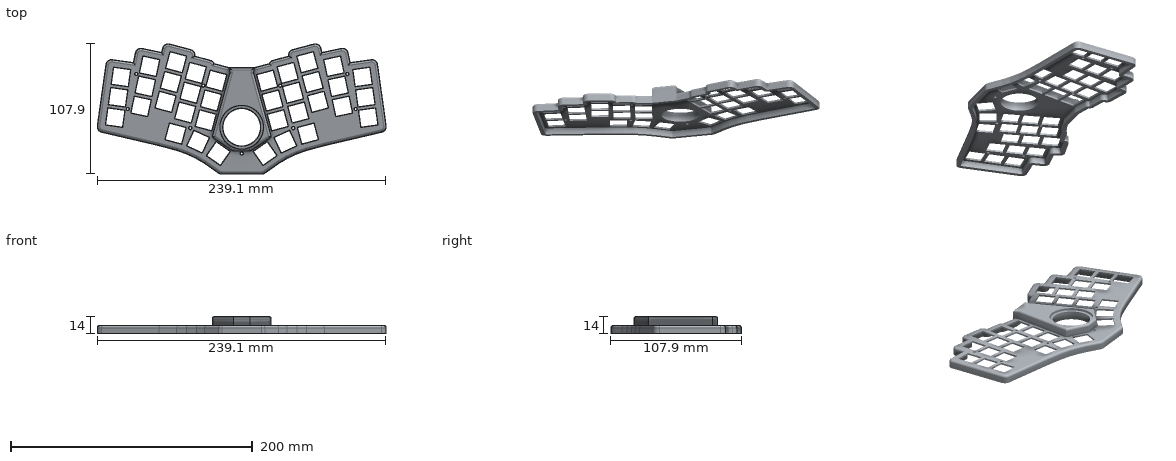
import cadquery as cq
import math

plate_height = 6.7
deck_thickness = 1.5
wall_thickness = 3.5
total_height = 14.0
edge_round = 2.0
corner_radius = 4.8
overall_depth = 107.9
front_y = -overall_depth / 2

key_opening = 14.0
key_pitch = 17.0
side_margin = 6.7
rim_side = key_opening / 2 + side_margin
rim_end = 13.2

key_columns = [
    (100.0, 26.5, 8, "outer"),
    (76.3, 35.5, 12, "outer"),
    (54.3, 38.7, 15, "both"),
    (38.0, 30.0, 15, "inner"),
    (21.0, 23.5, 15, "none"),
]
keys_per_column = 3
top_corner_edges = {
    "outer": "|Z and >Y and >X",
    "inner": "|Z and >Y and <X",
    "both": "|Z and >Y",
}

thumb_keys = [
    (54.8, -20.3, 15),
    (36.0, -27.0, 25),
    (19.4, -36.8, 35),
]
thumb_flat_half = 4.5
outer_thumb_flat_end = 10.5

back_corner_offset = 7.5

screw_diameter = 2.5
screw_places = [(87.3, 29.0), (31.8, 19.4), (94.2, 0.0), (42.5, -15.8)]
centre_screw_y = -36.8

pedestal_side_points = [
    (9.8, 30.0),
    (24.5, -23.0),
    (23.2, -24.2),
    (7.0, -35.0),
]

ball_y = -15.0
ball_diameter = 31.0
ball_seat_diameter = 36.0
ball_seat_depth = 2.0


def from_key(key, right, up):
    """Point given along the tilted axes of a switch, in plate coordinates."""
    x, y, tilt = key[:3]
    angle = math.radians(tilt)
    return (
        x + right * math.cos(angle) - up * math.sin(angle),
        y + right * math.sin(angle) + up * math.cos(angle),
    )


def mirrored(solid):
    """The solid joined with its mirror image across the YZ plane."""
    return solid.union(solid.mirror("YZ"))


def column_key(column, row):
    x, y = from_key(column, 0, -row * key_pitch)
    return (x, y, column[2])


def back_corner():
    """Right-hand end of the straight back edge, on the rim of the innermost column."""
    return from_key(key_columns[-1], -back_corner_offset, rim_end)


def column_slab(column):
    """Rectangle carrying the rim around one column, rounded where its top corners show."""
    tilt, free_corners = column[2:]
    length = (keys_per_column - 1) * key_pitch + rim_end
    centre = from_key(column, 0, rim_end - length / 2)
    slab = cq.Workplane("XY").rect(2 * rim_side, length).extrude(plate_height)
    if free_corners in top_corner_edges:
        slab = slab.edges(top_corner_edges[free_corners]).fillet(corner_radius)
    return slab.rotate((0, 0, 0), (0, 0, 1), tilt).translate((*centre, 0))


def front_body():
    """Right-hand half of the plate between the columns and the front rim."""
    outer_column = key_columns[0]
    outer_thumb, middle_thumb, inner_thumb = thumb_keys

    start_x, start_y = from_key(inner_thumb, 0, -rim_end)
    slope = math.tan(math.radians(inner_thumb[2]))
    front_corner = (start_x - (start_y - front_y) / slope, front_y)
    outer_corner = from_key(column_key(outer_column, keys_per_column - 1), rim_side, -rim_end)

    outline = [
        (0, front_y),
        front_corner,
        from_key(inner_thumb, thumb_flat_half, -rim_end),
        from_key(middle_thumb, -thumb_flat_half, -rim_end),
        from_key(middle_thumb, thumb_flat_half, -rim_end),
        from_key(outer_thumb, -thumb_flat_half, -rim_end),
        from_key(outer_thumb, outer_thumb_flat_end, -rim_end),
        outer_corner,
        from_key(outer_column, rim_side, 0),
    ]
    outline += [(x, y) for x, y, *_ in key_columns]
    outline += [back_corner(), (0, back_corner()[1])]

    body = cq.Workplane("XY").polyline(outline).close().extrude(plate_height)
    for x, y in (front_corner, outer_corner):
        corner_edge = cq.selectors.NearestToPointSelector((x, y, plate_height / 2))
        body = body.edges("|Z").edges(corner_edge).fillet(corner_radius)
    return body


def plate_blank():
    half = front_body()
    for column in key_columns:
        half = half.union(column_slab(column))
    return mirrored(half).clean()


def underside_hollow(blank):
    """Space below the deck, inside the skirt."""
    inner_outline = blank.faces("<Z").wires().toPending().offset2D(-wall_thickness)
    return inner_outline.extrude(plate_height - deck_thickness, combine=False)


def pedestal():
    half_outline = [back_corner()] + pedestal_side_points
    left_half = [(-x, y) for x, y in reversed(half_outline)]
    block = cq.Workplane("XY").polyline(half_outline + left_half).close().extrude(total_height)
    return block.faces(">Z").edges().fillet(edge_round)


def key_cutter(key):
    x, y, tilt = key
    opening = cq.Workplane("XY").rect(key_opening, key_opening).extrude(plate_height)
    return opening.rotate((0, 0, 0), (0, 0, 1), tilt).translate((x, y, 0))


def key_openings():
    keys = [column_key(column, row) for column in key_columns for row in range(keys_per_column)]
    cutter = cq.Workplane("XY")
    for key in keys + thumb_keys:
        cutter = cutter.add(key_cutter(key))
    return mirrored(cutter.combine())


def screw_holes():
    places = [(0, centre_screw_y)]
    for x, y in screw_places:
        places += [(x, y), (-x, y)]
    return cq.Workplane("XY").pushPoints(places).circle(screw_diameter / 2).extrude(plate_height)


def ball_opening():
    bore = cq.Workplane("XY").center(0, ball_y).circle(ball_diameter / 2).extrude(total_height)
    seat = (
        cq.Workplane("XY", origin=(0, ball_y, total_height - ball_seat_depth))
        .circle(ball_seat_diameter / 2)
        .extrude(ball_seat_depth)
    )
    return bore.union(seat)


blank = plate_blank()
plate = blank.faces(">Z").edges().fillet(edge_round)
result = plate.union(pedestal()).cut(underside_hollow(blank))
result = result.cut(key_openings()).cut(screw_holes()).cut(ball_opening())